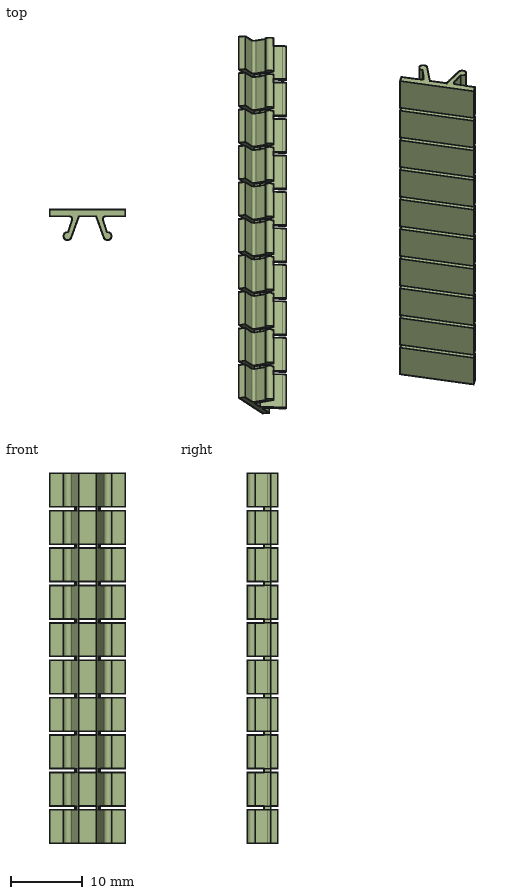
import cadquery as cq
import math

segment_count = 10
strip_length = 51.5
gap = 0.5
segment_length = (strip_length - (segment_count - 1) * gap) / segment_count
pitch = segment_length + gap

plate_width = 10.5
plate_thickness = 1.0
total_depth = 4.3

inner_angle = math.radians(20)
outer_angle = math.radians(18)
leg_root_width = 0.8
bead_radius = 0.55
bead_x = 2.8
bead_y = bead_radius - total_depth
root_fillet = 0.35

web_width = 0.25
web_depth = 1.0

inner_slope = math.tan(inner_angle)
outer_slope = math.tan(outer_angle)
tangent_x = bead_x - bead_radius * math.cos(inner_angle)
tangent_y = bead_y - bead_radius * math.sin(inner_angle)


def inner_face_x(y):
    """X of the inner face of the +X leg at a given Y."""
    return tangent_x - (y - tangent_y) * inner_slope


def outer_face_x(y):
    """X of the outer face of the +X leg at a given Y."""
    root_x = inner_face_x(-plate_thickness) + leg_root_width
    return root_x - (y + plate_thickness) * outer_slope


def mirrored_pair(solid):
    """The solid together with its mirror image across the YZ plane."""
    return solid.union(solid.mirror("YZ"))


def make_leg():
    outline = [
        (inner_face_x(0), 0),
        (tangent_x, tangent_y),
        (bead_x, bead_y),
        (outer_face_x(bead_y), bead_y),
        (outer_face_x(0), 0),
    ]
    arm = cq.Workplane("XY").polyline(outline).close().extrude(segment_length)
    bead = cq.Workplane("XY").center(bead_x, bead_y).circle(bead_radius).extrude(segment_length)
    return arm.union(bead)


def make_segment():
    plate = (
        cq.Workplane("XY")
        .box(plate_width, plate_thickness, segment_length, centered=(True, False, False))
        .translate((0, -plate_thickness, 0))
    )
    section = plate.union(mirrored_pair(make_leg()))
    outer_root_x = outer_face_x(-plate_thickness)
    for side in (-1, 1):
        root = (side * outer_root_x, -plate_thickness, segment_length / 2)
        section = section.edges(cq.selectors.NearestToPointSelector(root)).fillet(root_fillet)
    return section


def make_webs():
    """Pair of slanted webs running the whole length, exposed only in the gaps."""
    top_y = -plate_thickness
    bottom_y = top_y - web_depth
    outline = [
        (inner_face_x(top_y), top_y),
        (inner_face_x(bottom_y), bottom_y),
        (inner_face_x(bottom_y) + web_width, bottom_y),
        (inner_face_x(top_y) + web_width, top_y),
    ]
    web = cq.Workplane("XY").polyline(outline).close().extrude(strip_length)
    return mirrored_pair(web)


segment = make_segment()
result = make_webs()
for index in range(segment_count):
    result = result.union(segment.translate((0, 0, index * pitch)))

result = result.translate((0, total_depth / 2, -strip_length / 2))